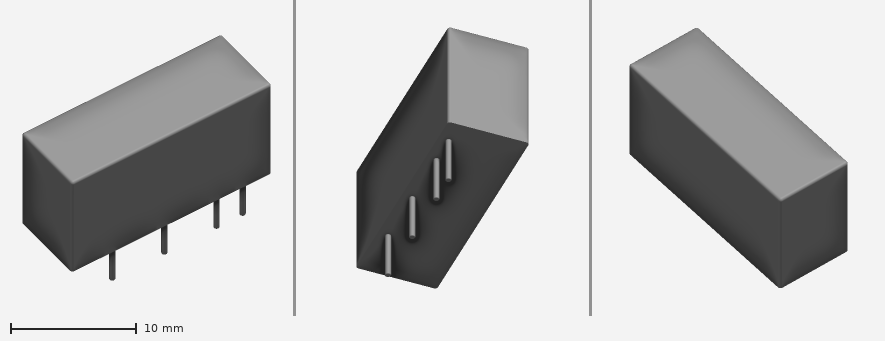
import cadquery as cq

case_width = 7.0
case_length = 19.5
case_height = 10.0
case_edge_radius = 0.25

total_height = 14.1
pin_length = total_height - case_height
pin_diameter = 0.5
pin_tip_radius = 0.08
pin_row_x = 2.57
pin_row_span = 12.7
first_pin_y = 7.55
pin_pitch_steps = (0, 1, 3, 5)
pin_pitch = pin_row_span / pin_pitch_steps[-1]


def make_case():
    """Box with rounded upright and top edges and a sharp bottom outline."""
    box = cq.Workplane("XY").box(case_width, case_length, case_height, centered=(True, True, False))
    return box.edges("|Z or >Z").fillet(case_edge_radius)


def make_pin(y):
    """Round pin hanging below the case, with a rounded tip."""
    pin = cq.Workplane("XY").center(pin_row_x, y).circle(pin_diameter / 2).extrude(-pin_length)
    return pin.faces("<Z").edges().fillet(pin_tip_radius)


result = make_case()
for step in pin_pitch_steps:
    result = result.union(make_pin(first_pin_y - step * pin_pitch))